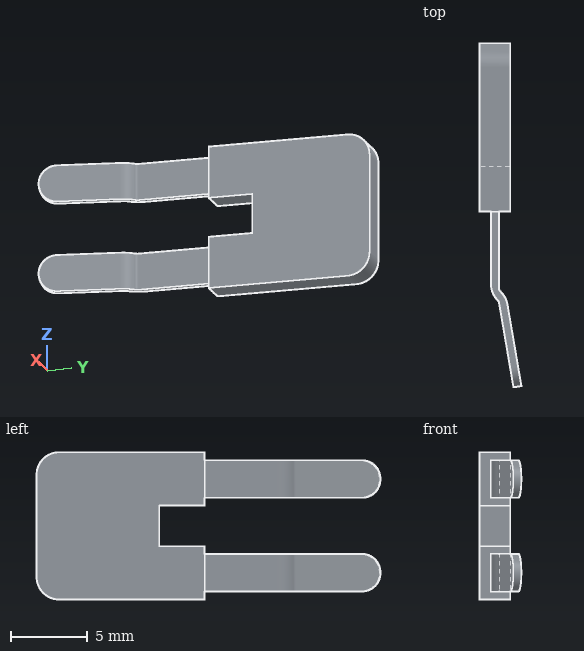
import cadquery as cq
import math

total_length = 22.5

body_thickness = 2.02
body_length = 11.0
body_height = 9.65
corner_radius = 1.5
notch_depth = 2.97
notch_height = 2.65

blade_thickness = 0.55
blade_width = 2.48
blade_pitch = 6.12
straight_length = 5.25
middle_length = 0.7
middle_angle = math.radians(45)
tip_angle = math.radians(9.7)
inner_bend_radius = 0.32
outer_bend_radius = 1.48

half_thickness = blade_thickness / 2

first_bend = (0, -straight_length)
second_bend = (
    middle_length * math.sin(middle_angle),
    -straight_length - middle_length * math.cos(middle_angle),
)
tip_y = body_length - total_length + half_thickness * math.sin(tip_angle)
tip_length = (second_bend[1] - tip_y) / math.cos(tip_angle)
tip = (second_bend[0] + tip_length * math.sin(tip_angle), tip_y)


def make_body():
    body = (
        cq.Workplane("XY")
        .box(body_thickness, body_length, body_height, centered=(True, False, True))
        .edges("|X and >Y")
        .fillet(corner_radius)
    )
    notch = cq.Workplane("XY").box(
        body_thickness, notch_depth, notch_height, centered=(True, False, True)
    )
    return body.cut(notch)


def blade_side(side):
    """Sharp corners of one blade face: side is +1 for +X and -1 for -X."""
    offset = side * half_thickness

    def mitre(corner, angle_before, angle_after):
        mean_angle = (angle_before + angle_after) / 2
        reach = offset / math.cos((angle_before - angle_after) / 2)
        return (
            corner[0] + reach * math.cos(mean_angle),
            corner[1] + reach * math.sin(mean_angle),
        )

    return [
        (offset, 0),
        mitre(first_bend, 0, middle_angle),
        mitre(second_bend, middle_angle, tip_angle),
        mitre(tip, tip_angle, tip_angle),
    ]


def make_blade():
    left = blade_side(-1)
    right = blade_side(1)
    blade = (
        cq.Workplane("XY")
        .polyline(left + right[::-1])
        .close()
        .extrude(blade_width / 2, both=True)
    )

    def bend_edges(corners):
        return [cq.selectors.NearestToPointSelector((x, y, 0)) for x, y in corners]

    for selector in bend_edges([left[1], right[2]]):
        blade = blade.edges(selector).fillet(outer_bend_radius)
    for selector in bend_edges([right[1], left[2]]):
        blade = blade.edges(selector).fillet(inner_bend_radius)

    tip_plane = cq.Plane(
        origin=(tip[0], tip[1], 0),
        xDir=(-math.sin(tip_angle), math.cos(tip_angle), 0),
        normal=(math.cos(tip_angle), math.sin(tip_angle), 0),
    )
    envelope = (
        cq.Workplane(tip_plane)
        .center(total_length / 2, 0)
        .slot2D(total_length, blade_width)
        .extrude(total_length, both=True)
    )
    return blade.intersect(envelope)


result = make_body()
blade = make_blade()
for side in (-1, 1):
    result = result.union(blade.translate((0, 0, side * blade_pitch / 2)))